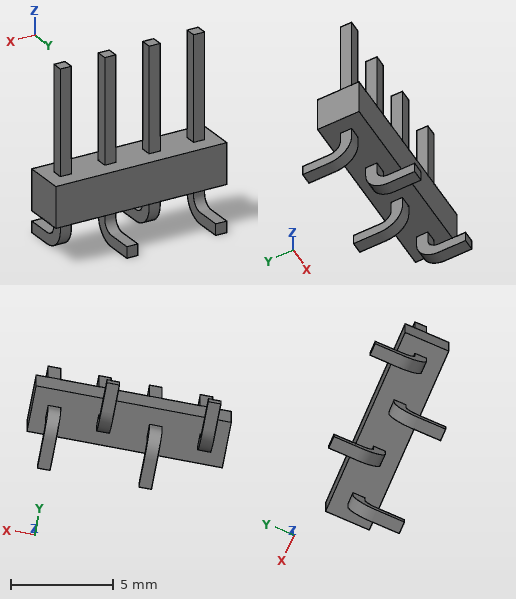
import cadquery as cq

total_height = 10.04
foot_span = 4.88

housing_length = 9.75
housing_width = 2.34
housing_height = 2.28
housing_bottom = 1.91

pin_count = 4
pin_pitch = 2.53
pin_width = 0.63
inner_bend_radius = 0.63
outer_bend_radius = inner_bend_radius + pin_width


def make_housing():
    return (
        cq.Workplane("XY")
        .workplane(offset=housing_bottom)
        .rect(housing_length, housing_width)
        .extrude(housing_height)
    )


def make_pin(x_center, foot_direction):
    """Square pin with a bent foot pointing along +Y (1) or -Y (-1)."""
    half = pin_width / 2
    bend_center_y = half + inner_bend_radius
    d = foot_direction
    return (
        cq.Workplane("YZ", origin=(x_center - half, 0, 0))
        .moveTo(-d * half, total_height)
        .lineTo(-d * half, outer_bend_radius)
        .radiusArc((d * bend_center_y, 0), -d * outer_bend_radius)
        .lineTo(d * foot_span / 2, 0)
        .lineTo(d * foot_span / 2, pin_width)
        .lineTo(d * bend_center_y, pin_width)
        .radiusArc((d * half, outer_bend_radius), d * inner_bend_radius)
        .lineTo(d * half, total_height)
        .close()
        .extrude(pin_width)
    )


result = make_housing()
for index in range(pin_count):
    pin_x = (index - (pin_count - 1) / 2) * pin_pitch
    direction = 1 if index % 2 == 0 else -1
    result = result.union(make_pin(pin_x, direction))